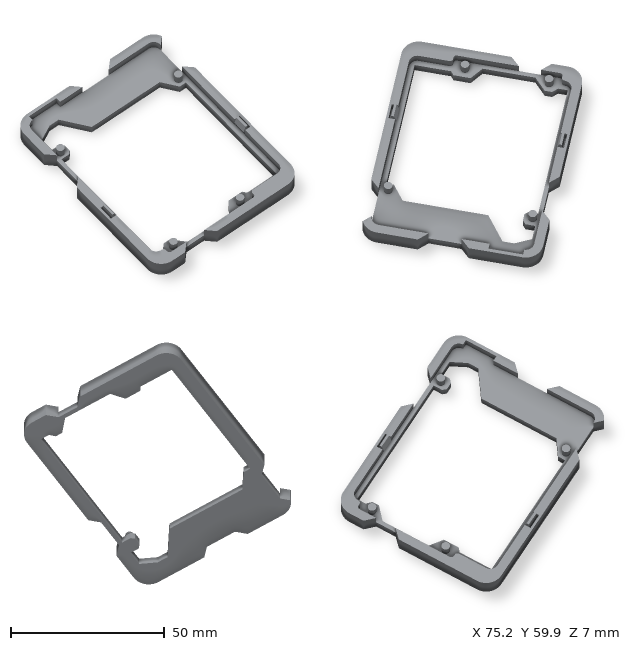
import cadquery as cq

length = 75.2
width = 59.9
frame_height = 6.0
ledge_height = 3.0
wall = 3.0
outer_radius = 5.8
inner_radius = outer_radius - wall

main_recess_right = 69.6
relief_bottom = 6.85
relief_top = 43.0
relief_radius = 1.0
select_margin = 0.1
notch_left = 1.1
notch_bottom = 5.7
notch_top = 17.2

wide_gap = 10.9
narrow_gap = 7.4
left_gap_center = 32.0
right_gap_center = 17.8
front_gap_center = 24.45
back_gap_center = 11.4

ledge_front = 4.4
ledge_back = 55.2
opening_right = 70.8
pad_left = 66.4
tab_left = 14.6
tab_right = 19.5
tab_shoulder = 7.7
tab_end = 8.8
bay_left = 6.6
corner_pad_right = 21.1
upper_right = 67.75
lower_right = 68.05
plate_right = 15.65
opening_points = [
    (9.4, ledge_front),
    (tab_left, ledge_front),
    (tab_left, tab_shoulder),
    (15.9, tab_end),
    (18.4, tab_end),
    (tab_right, tab_shoulder),
    (tab_right, ledge_front),
    (lower_right, ledge_front),
    (lower_right, tab_shoulder),
    (pad_left, 9.25),
    (pad_left, 11.7),
    (opening_right, 15.7),
    (opening_right, 33.25),
    (pad_left, 36.3),
    (pad_left, 42.0),
    (upper_right, 43.1),
    (upper_right, ledge_back),
    (corner_pad_right, ledge_back),
    (corner_pad_right, 52.65),
    (plate_right, 48.65),
    (plate_right, 20.2),
    (bay_left, 13.7),
    (bay_left, 9.85),
]

pin_diameter = 2.8
pin_height = 3.0
pin_centers = [(18.6, 54.1), (69.4, 38.8), (69.4, 10.9), (17.2, 5.8)]

clip_center = 46.85
clip_width = 4.7
clip_pocket_width = 5.5
clip_pocket_depth = 0.8
clip_back_depth = 1.65
clip_top_depth = 2.5
clip_stem_depth = 2.85
clip_tip_depth = 3.4
clip_tip_height = 4.8
clip_height = 7.0


def box(x_min, x_max, y_min, y_max, z_min, z_max):
    size = (x_max - x_min, y_max - y_min, z_max - z_min)
    return cq.Workplane("XY").box(*size, centered=False).translate((x_min, y_min, z_min))


def mirrored_to_back(shape):
    return shape.mirror("XZ", (0, width / 2, 0))


def make_recess():
    """Space above the ledge, with a side relief at the right and a notch at the left."""
    recess = box(wall, main_recess_right, wall, width - wall, ledge_height, frame_height)
    recess = recess.edges("|Z").fillet(inner_radius)
    relief_left = main_recess_right - wall
    relief_right = length - wall
    relief = box(relief_left, relief_right, relief_bottom, relief_top, ledge_height, frame_height)
    relief = relief.edges("|Z and >X").fillet(relief_radius)
    mouth_edges = cq.selectors.BoxSelector(
        (main_recess_right - select_margin, relief_bottom - select_margin, ledge_height),
        (main_recess_right + select_margin, relief_top + select_margin, frame_height),
    )
    recess = recess.union(relief).edges("|Z").edges(mouth_edges).fillet(relief_radius)
    notch = box(notch_left, 2 * wall, notch_bottom, notch_top, ledge_height, frame_height)
    return recess.union(notch)


def make_gap(x, y, inner_width, turn):
    """Flared wall gap whose outer mouth is centred at (x, y); at turn 0 it cuts the front wall."""
    half = inner_width / 2
    profile = [(-half - wall, 0), (half + wall, 0), (half, wall), (-half, wall)]
    gap = cq.Workplane("XY").polyline(profile).close().extrude(frame_height)
    return gap.rotate((0, 0, 0), (0, 0, 1), turn).translate((x, y, 0))


def make_front_clip():
    """Hooked tongue standing on the front ledge."""
    profile = [
        (clip_back_depth, ledge_height),
        (clip_stem_depth, ledge_height),
        (clip_stem_depth, clip_tip_height),
        (clip_tip_depth, clip_tip_height),
        (clip_top_depth, clip_height),
        (clip_back_depth, clip_height),
    ]
    clip = cq.Workplane("YZ").polyline(profile).close().extrude(clip_width)
    return clip.translate((clip_center - clip_width / 2, 0, 0))


frame = box(0, length, 0, width, 0, frame_height).edges("|Z").fillet(outer_radius)
frame = frame.cut(make_recess())
frame = frame.cut(cq.Workplane("XY").polyline(opening_points).close().extrude(frame_height))

frame = frame.cut(make_gap(front_gap_center, 0, wide_gap, 0))
frame = frame.cut(make_gap(length, right_gap_center, narrow_gap, 90))
frame = frame.cut(make_gap(back_gap_center, width, wide_gap, 180))
frame = frame.cut(make_gap(0, left_gap_center, wide_gap, 270))

clip_pocket = box(
    clip_center - clip_pocket_width / 2,
    clip_center + clip_pocket_width / 2,
    clip_pocket_depth,
    wall,
    ledge_height,
    frame_height,
)
front_clip = make_front_clip()
frame = frame.cut(clip_pocket).cut(mirrored_to_back(clip_pocket))
frame = frame.union(front_clip).union(mirrored_to_back(front_clip))

pins = cq.Workplane("XY").workplane(offset=ledge_height).pushPoints(pin_centers)
pins = pins.circle(pin_diameter / 2).extrude(pin_height)

result = frame.union(pins)